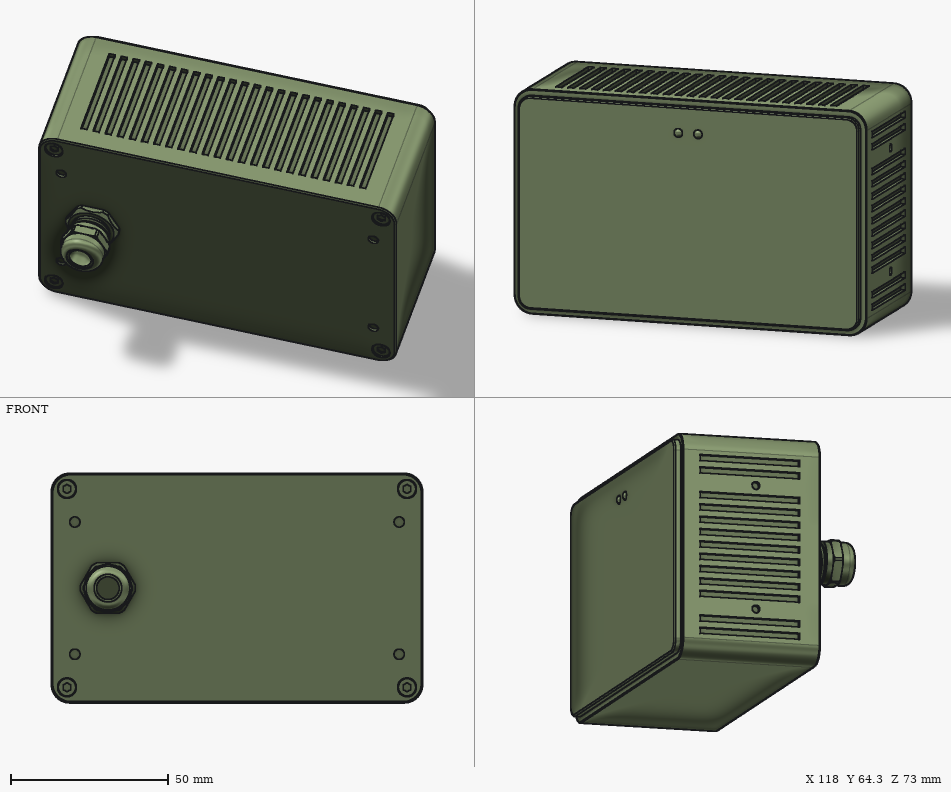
import cadquery as cq
import math

width = 118.0
height = 73.0
body_depth = 45.8
corner_radius = 6.0
front_chamfer = 0.5
back_chamfer = 0.3

panel_inset = 2.0
panel_end = 48.0
panel_chamfer = 0.5

dome_spacing = 6.6
dome_z = 26.0
dome_diameter = 2.8
dome_height = 0.8
dome_root = 0.2

slot_width = 2.0
slot_pitch = 4.0
slot_start = 7.0
slot_end = 40.0
slot_depth = 1.5
slot_length = slot_end - slot_start
slot_middle = (slot_start + slot_end) / 2
top_slot_count = 24
side_slot_rows = 15
side_hole_row = 5
side_hole_y = 21.5
side_hole_diameter = 2.5

mount_x = 51.5
mount_z = 21.0
mount_diameter = 3.3
mount_depth = 1.0

screw_edge_distance = 5.0
head_diameter = 5.5
head_height = 3.0
head_recess = 0.5
counterbore_diameter = 6.0
shank_diameter = 3.0
shank_length = 20.0
socket_flats = 2.5
socket_depth = 0.5

gland_x = -41.0
flange_flats = 16.0
flange_corner_diameter = 17.5
flange_thickness = 2.3
flange_chamfer = 1.2
thread_diameter = 12.5
thread_pitch = 1.5
thread_groove_depth = 0.75
thread_groove_width = 1.2
groove_overshoot = 0.2
thread_start = 3.1
cap_start = 5.5
gland_length = 15.5
cap_diameter = 13.9
cap_end_radius = 2.5
cap_hex_flats = 13.9
cap_hex_corner_diameter = 15.6
cap_hex_start = 7.5
cap_hex_end = 10.7
cap_hex_chamfer = 0.3
bore_diameter = 7.2
mouth_diameter = 8.8
mouth_depth = 0.5

screw_places = [
    (side_x * (width / 2 - screw_edge_distance), side_z * (height / 2 - screw_edge_distance))
    for side_x in (-1, 1)
    for side_z in (-1, 1)
]


def front_plane(y):
    """Plane at the given Y with its normal toward -Y, local x along X and local y along Z."""
    return cq.Workplane("XZ", origin=(0, y, 0))


def cylinder(diameter, y_start, y_end, x=0.0, z=0.0):
    """Round bar along Y."""
    return front_plane(y_end).center(x, z).circle(diameter / 2).extrude(y_end - y_start)


def rounded_block(block_width, block_height, radius, y_start, y_end):
    """Block along Y whose four long edges are rounded."""
    block = front_plane(y_end).rect(block_width, block_height).extrude(y_end - y_start)
    return block.edges("|Y").fillet(radius)


def hexagon(flats, y_start, y_end):
    """Hexagonal bar along Y with two flats facing up and down."""
    corner_circle = flats / math.cos(math.pi / 6)
    return front_plane(y_end).polygon(6, corner_circle).extrude(y_end - y_start)


def make_shell():
    body = rounded_block(width, height, corner_radius, 0, body_depth)
    body = body.faces("<Y").edges().chamfer(front_chamfer)
    body = body.faces(">Y").edges().chamfer(back_chamfer)
    panel = rounded_block(
        width - 2 * panel_inset,
        height - 2 * panel_inset,
        corner_radius - panel_inset,
        body_depth,
        panel_end,
    )
    panel = panel.faces(">Y").edges().chamfer(panel_chamfer)
    return body.union(panel)


def make_dome(x):
    """Spherical cap on the back panel, with a short root sunk into the panel."""
    base_radius = dome_diameter / 2
    sphere_radius = (base_radius**2 + dome_height**2) / (2 * dome_height)
    sphere_y = panel_end + dome_height - sphere_radius
    ball = cq.Workplane("XY").sphere(sphere_radius).translate((x, sphere_y, dome_z))
    outline = cylinder(dome_diameter, panel_end - dome_root, panel_end + dome_height, x, dome_z)
    return ball.intersect(outline)


def top_slots():
    return (
        cq.Workplane("XY", origin=(0, slot_middle, height / 2))
        .rarray(slot_pitch, 1, top_slot_count, 1)
        .rect(slot_width, slot_length)
        .extrude(-slot_depth)
    )


def side_slots_and_holes():
    face = cq.Workplane("YZ", origin=(-width / 2, 0, 0))
    last_row = side_slot_rows // 2
    rows = range(-last_row, last_row + 1)
    slot_centers = [(slot_middle, row * slot_pitch) for row in rows if abs(row) != side_hole_row]
    hole_centers = [(side_hole_y, row * slot_pitch) for row in (-side_hole_row, side_hole_row)]
    slots = face.pushPoints(slot_centers).rect(slot_length, slot_width).extrude(slot_depth)
    holes = face.pushPoints(hole_centers).circle(side_hole_diameter / 2).extrude(slot_depth)
    return slots.add(holes).combine()


def make_housing():
    housing = make_shell()
    for side in (-1, 1):
        housing = housing.union(make_dome(side * dome_spacing / 2))
    housing = housing.cut(top_slots()).cut(side_slots_and_holes())
    for side_x in (-1, 1):
        for side_z in (-1, 1):
            mount = cylinder(mount_diameter, 0, mount_depth, side_x * mount_x, side_z * mount_z)
            housing = housing.cut(mount)
    head_end = head_recess + head_height
    for x, z in screw_places:
        housing = housing.cut(cylinder(counterbore_diameter, 0, head_end, x, z))
        housing = housing.cut(cylinder(shank_diameter, head_end, head_end + shank_length, x, z))
    return housing


def make_screw(x, z):
    """Socket-head screw along Y with its head sunk below the front face."""
    head_end = head_recess + head_height
    head = cylinder(head_diameter, head_recess, head_end)
    shank = cylinder(shank_diameter, head_end, head_end + shank_length)
    socket = hexagon(socket_flats, head_recess, head_recess + socket_depth)
    socket = socket.rotate((0, 0, 0), (0, 1, 0), 90)
    return head.union(shank).cut(socket).translate((x, 0, z))


def chamfered_hexagon(flats, round_bar):
    """Hexagon whose corners are trimmed to the given round bar; it spans the length of the bar."""
    limits = round_bar.val().BoundingBox()
    return hexagon(flats, limits.ymin, limits.ymax).intersect(round_bar)


def make_thread_groove():
    """V-shaped right-hand helical groove that starts at the bottom and advances toward -Y."""
    radius = thread_diameter / 2
    path_radius = radius - thread_groove_depth
    helix = cq.Wire.makeHelix(thread_pitch, cap_start - thread_start + thread_groove_width, path_radius)
    half_width = thread_groove_width / 2 * (1 + groove_overshoot / thread_groove_depth)
    profile = (
        cq.Workplane("XZ")
        .moveTo(path_radius, 0)
        .lineTo(radius + groove_overshoot, half_width)
        .lineTo(radius + groove_overshoot, -half_width)
        .close()
    )
    groove = profile.sweep(cq.Workplane(obj=helix), isFrenet=True)
    groove = groove.rotate((0, 0, 0), (0, 0, 1), -90)
    groove = groove.rotate((0, 0, 0), (1, 0, 0), 90)
    return groove.translate((0, -thread_start, 0))


def make_gland():
    """Cable gland pointing toward -Y, seated on the front face."""
    flange_round = cylinder(flange_corner_diameter, -flange_thickness, 0)
    flange_round = flange_round.faces("<Y").edges().chamfer(flange_chamfer)
    flange = chamfered_hexagon(flange_flats, flange_round)

    neck = cylinder(thread_diameter, -cap_start, -flange_thickness).cut(make_thread_groove())

    cap = cylinder(cap_diameter, -gland_length, -cap_start)
    cap = cap.faces("<Y").edges().fillet(cap_end_radius)
    cap_hex_round = cylinder(cap_hex_corner_diameter, -cap_hex_end, -cap_hex_start)
    cap_hex_round = cap_hex_round.edges().chamfer(cap_hex_chamfer)
    cap_hex = chamfered_hexagon(cap_hex_flats, cap_hex_round)

    bore = cylinder(bore_diameter, -gland_length, 0)
    mouth = cylinder(mouth_diameter, -gland_length, mouth_depth - gland_length)
    gland = flange.union(neck).union(cap).union(cap_hex).cut(bore).cut(mouth)
    return gland.translate((gland_x, 0, 0))


housing = make_housing()
gland = make_gland()
screws = [make_screw(x, z) for x, z in screw_places]

result = cq.Compound.makeCompound(
    [housing.val(), gland.val(), *[screw.val() for screw in screws]]
)